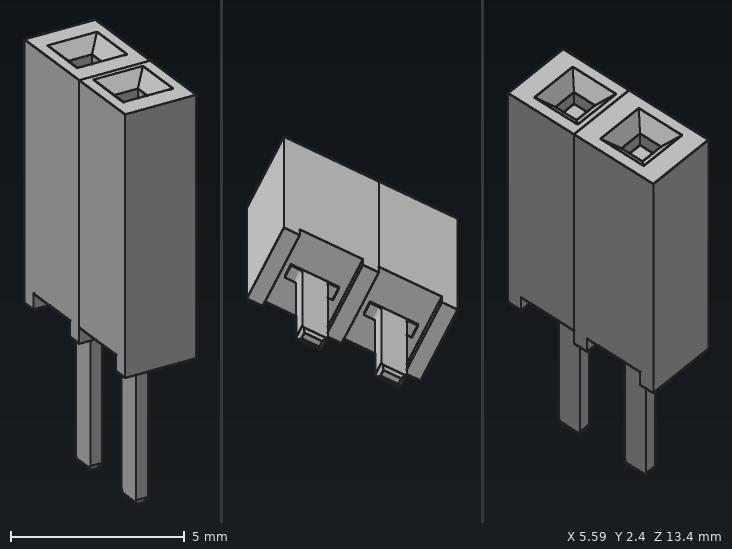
import cadquery as cq

pitch = 2.54
total_height = 13.44
housing_height = 8.52
housing_depth = 2.4

foot_width = 0.51
foot_height = 0.52

mouth_side = 1.67
hole_side = 0.8
mouth_depth = (mouth_side - hole_side) / 2
hole_depth = 0.47

pin_width = 0.82
pin_thickness = 0.4
pin_offset = 0.05
pin_reach = total_height - housing_height
shoulder_width = 1.55
shoulder_height = 0.12
shoulder_fillet = 0.1

tip_side_inset = 0.12
tip_side_height = 0.2
tip_face_chamfer = 0.11

end_housing_half = (pitch + foot_width) / 2
row_start = -end_housing_half
seam = end_housing_half
row_end = pitch + end_housing_half


def box(x_min, x_max, depth, z_min, z_max):
    """Box between the given X and Z limits, centred on Y = 0."""
    return (
        cq.Workplane("XY", origin=((x_min + x_max) / 2, 0, z_min))
        .rect(x_max - x_min, depth)
        .extrude(z_max - z_min)
    )


def make_socket(contact_x):
    """Cavity with a mouth that narrows to a straight square hole."""
    mouth = (
        cq.Workplane("XY", origin=(contact_x, 0, housing_height))
        .rect(mouth_side, mouth_side)
        .workplane(offset=-mouth_depth)
        .rect(hole_side, hole_side)
        .loft(ruled=True)
    )
    hole = (
        cq.Workplane("XY", origin=(contact_x, 0, housing_height - mouth_depth))
        .rect(hole_side, hole_side)
        .extrude(-hole_depth)
    )
    return mouth.union(hole)


def make_housing(x_min, x_max, gap_start, contact_x):
    """Housing block, open below from gap_start to the foot at its +X end."""
    block = box(x_min, x_max, housing_depth, 0, housing_height)
    gap = box(gap_start, x_max - foot_width, housing_depth, 0, foot_height)
    return block.cut(gap).cut(make_socket(contact_x))


def make_pin(contact_x):
    """Flat T-shaped pin hanging from the housing underside, with a tapered tip."""
    half_width = pin_width / 2
    half_thickness = pin_thickness / 2
    half_shoulder = shoulder_width / 2
    shoulder_bottom = foot_height - shoulder_height
    tip = -pin_reach

    front_outline = (
        cq.Workplane("XZ")
        .moveTo(-half_shoulder, foot_height)
        .lineTo(-half_shoulder, shoulder_bottom)
        .lineTo(-half_width - shoulder_fillet, shoulder_bottom)
        .radiusArc((-half_width, shoulder_bottom - shoulder_fillet), shoulder_fillet)
        .lineTo(-half_width, tip + tip_side_height)
        .lineTo(-half_width + tip_side_inset, tip)
        .lineTo(half_width - tip_side_inset, tip)
        .lineTo(half_width, tip + tip_side_height)
        .lineTo(half_width, shoulder_bottom - shoulder_fillet)
        .radiusArc((half_width + shoulder_fillet, shoulder_bottom), shoulder_fillet)
        .lineTo(half_shoulder, shoulder_bottom)
        .lineTo(half_shoulder, foot_height)
        .close()
        .extrude(half_thickness, both=True)
    )
    side_outline = (
        cq.Workplane("YZ")
        .moveTo(-half_thickness, foot_height)
        .lineTo(-half_thickness, tip + tip_face_chamfer)
        .lineTo(-half_thickness + tip_face_chamfer, tip)
        .lineTo(half_thickness - tip_face_chamfer, tip)
        .lineTo(half_thickness, tip + tip_face_chamfer)
        .lineTo(half_thickness, foot_height)
        .close()
        .extrude(half_shoulder, both=True)
    )
    return front_outline.intersect(side_outline).translate((contact_x, pin_offset, 0))


end_housing = make_housing(row_start, seam, row_start + foot_width, 0)
next_housing = make_housing(seam, row_end, seam, pitch)

pins = []
for contact_x in (0, pitch):
    pins.append(make_pin(contact_x).val())

result = cq.Compound.makeCompound([end_housing.val(), next_housing.val(), *pins])